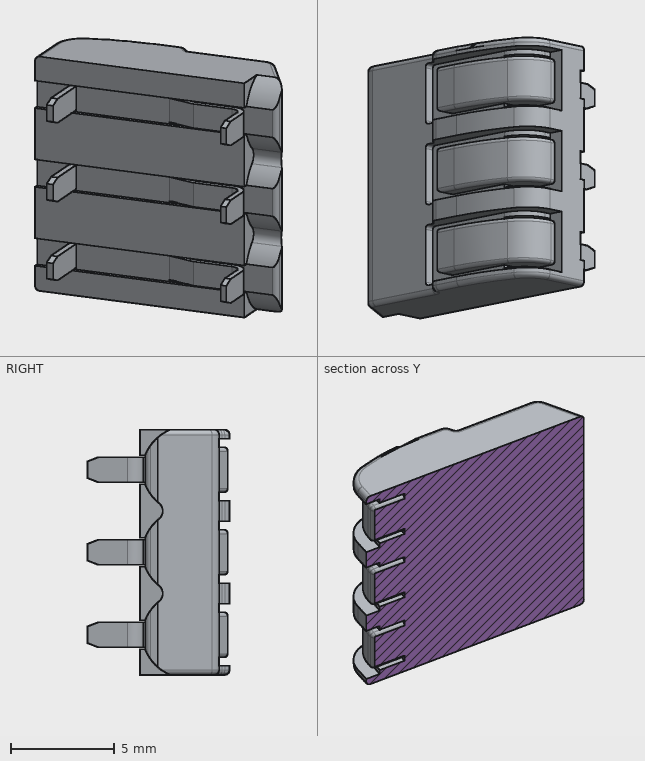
import cadquery as cq
import math


POLES = 3
PITCH = 4.0
LENGTH = 12.7
WIDTH = 11.9
CREST_Y = 4.35
DECK_Y = 3.85
EDGE_RADIUS = 0.25
FRONT_RADIUS = 1.5
CROWN_RADIUS = 11.18
CREST_START_X = 4.41
CREST_END_X = 5.8
STEP_RADIUS = 0.5
STEP_FOOT_RADIUS = 0.25
SLANT_ANGLE = math.radians(60)
REAR_TOP_RADIUS = 0.71
SLANT_FOOT_Y = 0.88

NOSE_X = 11.09
NOSE_BOTTOM_Y = 0.25
NOSE_EDGE_RADIUS = 0.25
GROOVE_WIDTH = 1.4
LOBE_RADIUS = 2.25
LOBE_HEIGHT = 1.25
LOBE_ARC_WIDTH = 0.91

BAY_WIDTH = 3.0
BAY_FLOOR_Y = 1.57
RECESS_FLOOR_Y = 3.35
RECESS_END_X = 6.98
RECESS_CORNER_RADIUS = 0.19
HUB_X = 0.76
HUB_CENTER_Y = 1.95
HUB_RADIUS = RECESS_FLOOR_Y - HUB_CENTER_Y
LEVER_SLOT_WIDTH = 2.51

LEVER_WIDTH = 2.2
LEVER_X = 0.33
LEVER_BOTTOM_Y = 1.6
LEVER_TOP_Y = 4.27
LEVER_FRONT_RADIUS = 1.84
LEVER_CROWN_RADIUS = 9.52
LEVER_CREST_START_X = 4.67
LEVER_EDGE_RADIUS = 0.19

PIN_WIDTH = 1.22
PIN_END_Y = -2.54
TIP_LENGTH = 0.52
TIP_INSET = 0.2
FRONT_PIN_X = 1.74
FRONT_PIN_THICKNESS = 0.34
FRONT_PIN_BEND_Y = 0.09
FRONT_PIN_BEND_RADIUS = 0.76
REAR_PIN_THICKNESS = 0.3
REAR_PIN_X = 11.25
REAR_PIN_STRIP_Y = -0.14
REAR_PIN_BEND_RADIUS = 0.46
RAMP_START_X = 7.01
RAMP_END_X = 8.43

EMBED = 0.13

pole_heights = [(i - (POLES - 1) / 2) * PITCH for i in range(POLES)]


def slab(outline, width, z=0.0):
    """Extrude an XY outline to the given width, centred on height z."""
    return outline.extrude(width / 2, both=True).translate((0, 0, z))


def box(x_range, y_range, width, z):
    """Block spanning two ranges in X and Y, centred on height z."""
    size_x = x_range[1] - x_range[0]
    size_y = y_range[1] - y_range[0]
    center = ((x_range[0] + x_range[1]) / 2, (y_range[0] + y_range[1]) / 2, z)
    return cq.Workplane("XY").box(size_x, size_y, width).translate(center)


def crowned_outline(start, front_radius, crown_radius, crest_start):
    """Outline from start up a rounded front, then along the crown to the flat crest."""
    left_x = start[0]
    crown_x, crest_y = crest_start
    crown_y = crest_y - crown_radius
    front_x = left_x + front_radius
    reach = crown_radius - front_radius
    run = crown_x - front_x
    front_y = crown_y + math.sqrt(reach**2 - run**2)
    joint_angle = math.atan2(front_y - crown_y, -run)

    def on_front(angle):
        return (front_x + front_radius * math.cos(angle), front_y + front_radius * math.sin(angle))

    def on_crown(angle):
        return (crown_x + crown_radius * math.cos(angle), crown_y + crown_radius * math.sin(angle))

    return (
        cq.Workplane("XY")
        .moveTo(*start)
        .lineTo(left_x, front_y)
        .threePointArc(on_front((math.pi + joint_angle) / 2), on_front(joint_angle))
        .threePointArc(on_crown((math.pi / 2 + joint_angle) / 2), crest_start)
    )


def make_housing():
    tangent = math.tan(SLANT_ANGLE / 2)
    step_top_x = CREST_END_X + STEP_RADIUS * tangent
    step_foot_x = step_top_x + (CREST_Y - DECK_Y) / math.tan(SLANT_ANGLE)
    rear_top_x = LENGTH - (DECK_Y - SLANT_FOOT_Y) / math.tan(SLANT_ANGLE)
    outline = (
        crowned_outline((0, 0), FRONT_RADIUS, CROWN_RADIUS, (CREST_START_X, CREST_Y))
        .lineTo(step_top_x, CREST_Y)
        .lineTo(step_foot_x, DECK_Y)
        .lineTo(rear_top_x, DECK_Y)
        .lineTo(LENGTH, SLANT_FOOT_Y)
        .lineTo(LENGTH, NOSE_BOTTOM_Y)
        .lineTo(NOSE_X, NOSE_BOTTOM_Y)
        .lineTo(NOSE_X, 0)
        .close()
    )
    body = slab(outline, WIDTH)
    rounded_corners = [
        (step_top_x, CREST_Y, STEP_RADIUS),
        (step_foot_x, DECK_Y, STEP_FOOT_RADIUS),
        (rear_top_x, DECK_Y, REAR_TOP_RADIUS),
        (LENGTH, NOSE_BOTTOM_Y, NOSE_EDGE_RADIUS),
    ]
    for x, y, radius in rounded_corners:
        body = body.edges(cq.selectors.NearestToPointSelector((x, y, 0))).fillet(radius)

    def is_upper_edge(edge):
        middle = edge.Center()
        return middle.y > NOSE_BOTTOM_Y + NOSE_EDGE_RADIUS

    for end in (">Z", "<Z"):
        rim = [edge for edge in body.faces(end).edges().vals() if is_upper_edge(edge)]
        body = body.newObject(rim).fillet(EDGE_RADIUS)
    return body


def lobe_profile():
    """Section of the nose in the YZ plane: one rounded lobe per pole with valleys between."""
    flat = GROOVE_WIDTH / 2
    end_z = WIDTH / 2
    end_run = end_z - pole_heights[-1] - flat
    chord_angle = math.atan2(LOBE_HEIGHT, end_run)
    half_sweep = math.asin(math.hypot(end_run, LOBE_HEIGHT) / 2 / LOBE_RADIUS)
    start_angle = chord_angle - half_sweep
    end_angle = chord_angle + half_sweep
    valley_angle = math.asin(math.sin(start_angle) + LOBE_ARC_WIDTH / LOBE_RADIUS)

    def on_lobe(edge_z, side, angle):
        """Point of the arc that leaves the flat at edge_z, at the given slope angle."""
        rise = LOBE_RADIUS * (math.cos(start_angle) - math.cos(angle))
        run = LOBE_RADIUS * (math.sin(angle) - math.sin(start_angle))
        return (NOSE_BOTTOM_Y + rise, edge_z + side * run)

    valley_half = (PITCH - GROOVE_WIDTH) / 2 - LOBE_ARC_WIDTH
    valley_depth = valley_half * math.tan(valley_angle / 2)
    valley_y = on_lobe(0, 1, valley_angle)[0] + valley_depth
    valley_middle = (start_angle + valley_angle) / 2

    first_edge = pole_heights[0] - flat
    last_edge = pole_heights[-1] + flat
    profile = (
        cq.Workplane("YZ")
        .moveTo(CREST_Y, -end_z)
        .lineTo(*on_lobe(first_edge, -1, end_angle))
        .threePointArc(on_lobe(first_edge, -1, chord_angle), (NOSE_BOTTOM_Y, first_edge))
    )
    for z in pole_heights[:-1]:
        edge = z + flat
        next_edge = z + PITCH - flat
        profile = (
            profile.lineTo(NOSE_BOTTOM_Y, edge)
            .threePointArc(on_lobe(edge, 1, valley_middle), on_lobe(edge, 1, valley_angle))
            .threePointArc((valley_y, z + PITCH / 2), on_lobe(next_edge, -1, valley_angle))
            .threePointArc(on_lobe(next_edge, -1, valley_middle), (NOSE_BOTTOM_Y, next_edge))
        )
    return (
        profile.lineTo(NOSE_BOTTOM_Y, last_edge)
        .threePointArc(on_lobe(last_edge, 1, chord_angle), on_lobe(last_edge, 1, end_angle))
        .lineTo(CREST_Y, end_z)
        .close()
    )


def make_nose_cutter():
    """Material to remove below the lobes."""
    lobes = lobe_profile().extrude(LENGTH - NOSE_X).translate((NOSE_X, 0, 0))
    return box((NOSE_X, LENGTH), (0, CREST_Y), WIDTH, 0).cut(lobes)


def make_bay(z):
    """Opening for one lever, with the rounded hub cheeks left standing."""
    hub_center_x = HUB_X + HUB_RADIUS
    front = box((0, hub_center_x), (BAY_FLOOR_Y, CREST_Y), BAY_WIDTH, z)
    recess = box((0, RECESS_END_X), (RECESS_FLOOR_Y, CREST_Y), BAY_WIDTH, z)
    recess = recess.edges("|Y and >X").fillet(RECESS_CORNER_RADIUS)
    diagonal = HUB_RADIUS * math.sqrt(0.5)
    hub = slab(
        cq.Workplane("XY")
        .moveTo(hub_center_x, BAY_FLOOR_Y)
        .lineTo(HUB_X, BAY_FLOOR_Y)
        .lineTo(HUB_X, HUB_CENTER_Y)
        .threePointArc(
            (hub_center_x - diagonal, HUB_CENTER_Y + diagonal),
            (hub_center_x, RECESS_FLOOR_Y),
        )
        .close(),
        BAY_WIDTH,
        z,
    )
    lever_slot = box((0, hub_center_x), (BAY_FLOOR_Y, CREST_Y), LEVER_SLOT_WIDTH, z)
    return front.cut(hub).union(lever_slot).union(recess)


def make_lever(z):
    back_x = HUB_X + HUB_RADIUS + EMBED
    corner = (LEVER_X, LEVER_BOTTOM_Y)
    crest_start = (LEVER_CREST_START_X, LEVER_TOP_Y)
    outline = (
        crowned_outline(corner, LEVER_FRONT_RADIUS, LEVER_CROWN_RADIUS, crest_start)
        .lineTo(CREST_END_X, LEVER_TOP_Y)
        .lineTo(CREST_END_X, RECESS_FLOOR_Y - EMBED)
        .lineTo(back_x, RECESS_FLOOR_Y - EMBED)
        .lineTo(back_x, LEVER_BOTTOM_Y)
        .close()
    )
    lever = slab(outline, LEVER_WIDTH)
    lever = lever.edges("|Z and <X").edges("<Y").fillet(LEVER_EDGE_RADIUS)

    def is_outer_edge(edge):
        middle = edge.Center()
        return middle.y > RECESS_FLOOR_Y or middle.x < HUB_X

    for side in (">Z", "<Z"):
        rim = [edge for edge in lever.faces(side).edges().vals() if is_outer_edge(edge)]
        lever = lever.newObject(rim).fillet(LEVER_EDGE_RADIUS)
    return lever.translate((0, 0, z))


def make_pin_blank(z):
    """Tapered pin shape in the YZ plane, long enough in X to trim either pin."""
    half = PIN_WIDTH / 2
    taper_y = PIN_END_Y + TIP_LENGTH
    tip_half = half - TIP_INSET
    return (
        cq.Workplane("YZ")
        .polyline(
            [
                (NOSE_BOTTOM_Y + EMBED, -half),
                (taper_y, -half),
                (PIN_END_Y, -tip_half),
                (PIN_END_Y, tip_half),
                (taper_y, half),
                (NOSE_BOTTOM_Y + EMBED, half),
            ]
        )
        .close()
        .extrude(LENGTH)
        .translate((0, 0, z))
    )


def make_front_pin(z):
    """Straight pin that starts to bend towards +X where it enters the housing."""
    buried_y = NOSE_BOTTOM_Y + EMBED
    bend_angle = math.asin((buried_y - FRONT_PIN_BEND_Y) / FRONT_PIN_BEND_RADIUS)

    def on_bend(angle):
        x = FRONT_PIN_X + FRONT_PIN_BEND_RADIUS * (1 - math.cos(angle))
        return (x, FRONT_PIN_BEND_Y + FRONT_PIN_BEND_RADIUS * math.sin(angle))

    back_x = FRONT_PIN_X + FRONT_PIN_THICKNESS
    outline = (
        cq.Workplane("XY")
        .moveTo(FRONT_PIN_X, PIN_END_Y)
        .lineTo(FRONT_PIN_X, FRONT_PIN_BEND_Y)
        .threePointArc(on_bend(bend_angle / 2), on_bend(bend_angle))
        .lineTo(back_x, buried_y)
        .lineTo(back_x, PIN_END_Y)
        .close()
    )
    return slab(outline, PIN_WIDTH, z)


def make_rear_pin(z):
    """Strip that ramps out of the groove floor, runs along it and bends down."""
    strip_top_y = REAR_PIN_STRIP_Y + REAR_PIN_THICKNESS
    ramp_slope = (NOSE_BOTTOM_Y - REAR_PIN_STRIP_Y) / (RAMP_END_X - RAMP_START_X)
    buried_y = NOSE_BOTTOM_Y + EMBED
    inner_x = REAR_PIN_X - REAR_PIN_THICKNESS
    bend_x = inner_x - REAR_PIN_BEND_RADIUS
    bend_y = REAR_PIN_STRIP_Y - REAR_PIN_BEND_RADIUS
    outer_radius = REAR_PIN_BEND_RADIUS + REAR_PIN_THICKNESS
    inner_diagonal = REAR_PIN_BEND_RADIUS * math.sqrt(0.5)
    outer_diagonal = outer_radius * math.sqrt(0.5)
    outline = (
        cq.Workplane("XY")
        .moveTo(RAMP_START_X - EMBED / ramp_slope, buried_y)
        .lineTo(RAMP_END_X, REAR_PIN_STRIP_Y)
        .lineTo(bend_x, REAR_PIN_STRIP_Y)
        .threePointArc((bend_x + inner_diagonal, bend_y + inner_diagonal), (inner_x, bend_y))
        .lineTo(inner_x, PIN_END_Y)
        .lineTo(REAR_PIN_X, PIN_END_Y)
        .lineTo(REAR_PIN_X, bend_y)
        .threePointArc((bend_x + outer_diagonal, bend_y + outer_diagonal), (bend_x, strip_top_y))
        .lineTo(RAMP_END_X, strip_top_y)
        .lineTo(RAMP_END_X - (buried_y - strip_top_y) / ramp_slope, buried_y)
        .close()
    )
    return slab(outline, PIN_WIDTH, z)


result = make_housing().cut(make_nose_cutter())
for pole_z in pole_heights:
    groove = box((0, LENGTH), (0, NOSE_BOTTOM_Y), GROOVE_WIDTH, pole_z)
    pins = make_front_pin(pole_z).union(make_rear_pin(pole_z)).intersect(make_pin_blank(pole_z))
    result = result.cut(groove).cut(make_bay(pole_z))
    result = result.union(make_lever(pole_z)).union(pins)